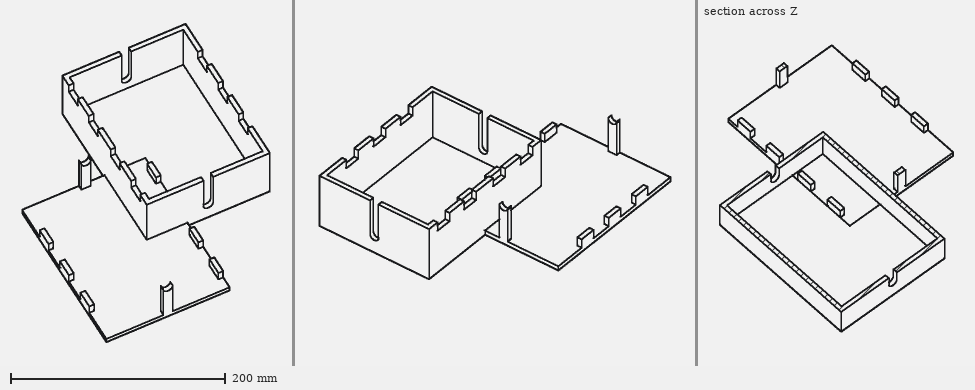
import cadquery as cq

total_x = 255.0
total_y = 217.0
box_x = 170.0
box_y = 130.0
box_height = 60.0
wall = 5.0

lid_left = total_x - box_x
box_front = total_y - box_y

tab_width = 18.0
tab_height = 10.0
front_notch_starts = [13.0, 53.3, 97.5, 138.7]
back_notch_first = 34.5
back_notch_pitch = 41.0
back_notch_starts = [back_notch_first + i * back_notch_pitch for i in range(3)]

slot_width = 10.0
slot_radius = slot_width / 2
slot_center_z = 20.0
post_top = 45.0


def block(x, y, z, size_x, size_y, size_z):
    """Box with its lowest corner at (x, y, z)."""
    return cq.Workplane("XY").box(size_x, size_y, size_z, centered=False).translate((x, y, z))


def cross_cylinder(z, length):
    """Cylinder along X at mid-depth of the box or lid, with the slot's radius."""
    return (
        cq.Workplane("YZ")
        .center(box_y / 2, z)
        .circle(slot_radius)
        .extrude(length)
    )


def make_lid():
    """Plate with edge tabs and two end posts, its front left corner at the origin."""
    lid = block(0, 0, 0, box_x, box_y, wall)

    tab_rows = [(front_notch_starts, box_y - wall), (back_notch_starts, 0)]
    for starts, tab_y in tab_rows:
        for start in starts:
            tab_x = box_x - start - tab_width
            lid = lid.union(block(tab_x, tab_y, wall, tab_width, wall, tab_height))

    post_y = box_y / 2 - slot_radius
    for post_x in (0, box_x - wall):
        lid = lid.union(block(post_x, post_y, wall, wall, slot_width, post_top - wall))
    return lid.cut(cross_cylinder(post_top, box_x))


def make_box():
    """Open box with a notched rim and slotted ends, its front left corner at the origin."""
    box = block(0, 0, 0, box_x, box_y, box_height)
    box = box.cut(block(wall, wall, wall, box_x - 2 * wall, box_y - 2 * wall, box_height - wall))

    notch_rows = [(front_notch_starts, 0), (back_notch_starts, box_y - wall)]
    for starts, notch_y in notch_rows:
        for start in starts:
            box = box.cut(block(start, notch_y, box_height - tab_height, tab_width, wall, tab_height))

    slot_y = box_y / 2 - slot_radius
    slot = block(0, slot_y, slot_center_z, box_x, slot_width, box_height - slot_center_z)
    return box.cut(slot.union(cross_cylinder(slot_center_z, box_x)))


lid = make_lid().translate((lid_left, 0, 0))

box = make_box().translate((0, box_front, 0)).cut(lid)

result = cq.Compound.makeCompound([box.solids().val(), lid.solids().val()])